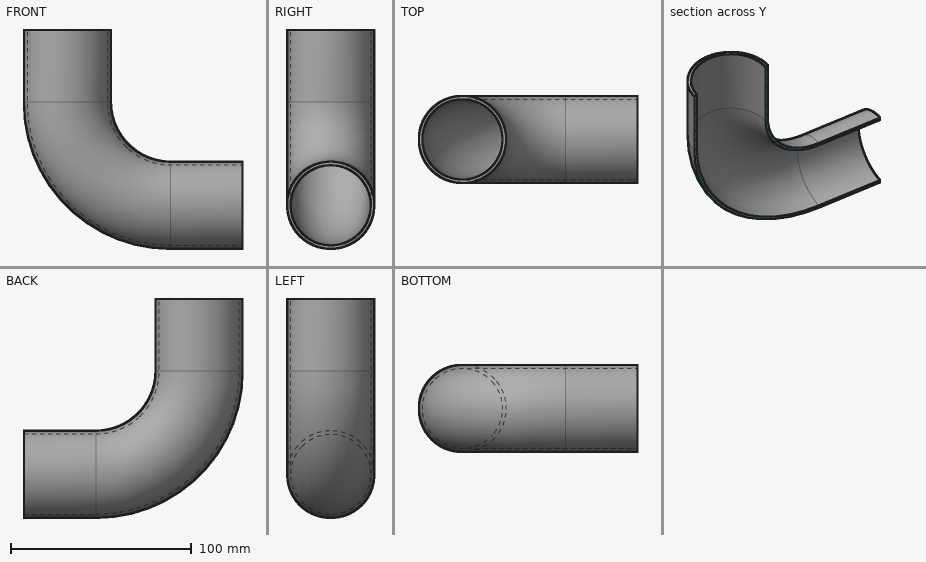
import cadquery as cq

overall_length = 121.2
outer_diameter = 48.3
inner_diameter = 44.3
straight_length = 40.0

axis_reach = overall_length - outer_diameter / 2
bend_radius = axis_reach - straight_length


def pipe_ring(plane):
    """Annular pipe section sketched at the plane's origin."""
    return cq.Workplane(plane).circle(outer_diameter / 2).circle(inner_diameter / 2)


def upright_leg():
    """Straight pipe running up from the top of the bend."""
    return pipe_ring(cq.Plane.XY(origin=(0, 0, bend_radius))).extrude(straight_length)


def level_leg():
    """Straight pipe running along +X from the end of the bend."""
    return pipe_ring(cq.Plane.YZ(origin=(bend_radius, 0, 0))).extrude(straight_length)


def bend():
    """Quarter torus joining the two legs."""
    section = pipe_ring(cq.Plane.XY(origin=(0, 0, bend_radius)))
    pivot_start = (bend_radius, 0, 0)
    pivot_end = (bend_radius, -1, 0)
    return section.revolve(90, pivot_start, pivot_end)


result = upright_leg().union(bend()).union(level_leg())